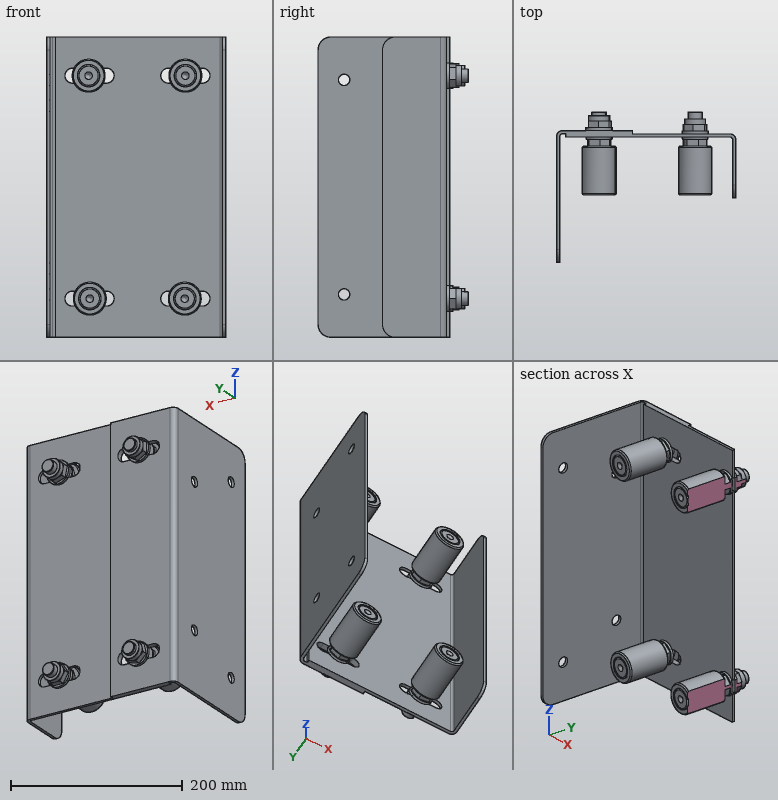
import cadquery as cq
import math

HEIGHT = 350.0
WIDTH = 209.0

SHEET = 4.0
BEND_OUTER = 7.0
BEND_INNER = BEND_OUTER - SHEET
LONG_FLANGE = 153.5
SHORT_FLANGE = 74.5
LONG_BRACKET_WEB = 88.5
SHORT_BRACKET_WEB = WIDTH - 10.5
FLANGE_CORNER = 15.0
OVERLAP_FRONT = -2 * SHEET

FLANGE_HOLE_DIAMETER = 13.0
FLANGE_HOLES = [(30.5, 50.0), (110.5, 80.0)]

SLOT_LENGTH = 57.0
SLOT_WIDTH = 17.0
SLOT_CENTRES_X = (50.0, 161.7)
MOUNT_Z = HEIGHT / 2 - 45.0

ROLLER_DIAMETER = 38.5
ROLLER_REAR = -18.2
ROLLER_LENGTH = 57.0
ROLLER_CHAMFER_LENGTH = 1.8
ROLLER_CHAMFER_DEPTH = 1.5
ROLLER_BORE_DIAMETER = 26.2
CORE_DIAMETER = 26.0
CORE_TIP_DIAMETER = 22.5
CORE_BEVEL_LENGTH = 1.8
CENTRE_DRILL_DIAMETER = 8.8
CENTRE_DRILL_DEPTH = 4.2
STUD_DIAMETER = 16.0
STUD_REAR = 21.7
STUD_CHAMFER = 0.7

HEX_ACROSS_FLATS = 24.0
HEX_ACROSS_CORNERS = HEX_ACROSS_FLATS / math.cos(math.radians(30))
NUT_FLANGE_DIAMETER = 30.0
FRONT_NUT_FLANGE = 2.8
FRONT_NUT_FLANGE_TIP_DIAMETER = 28.7
REAR_NUT_FLANGE = 3.5
REAR_NUT_HEX = 7.5
COLLAR_DIAMETER = 24.0
COLLAR_LENGTH = 6.5
COLLAR_CHAMFER = 0.5

MOUNTS = [
    (49.0, MOUNT_Z, 0, 23, 30),
    (50.5, -MOUNT_Z, 0, 23, 16),
    (161.7, MOUNT_Z, -SHEET, 14, 42),
    (161.0, -MOUNT_Z, -SHEET, 14, 0),
]


def bracket(web, flange):
    """L-shaped bent sheet with its outer corner at the origin, its web along +X and its flange along -Y."""
    sheet = (
        cq.Workplane("XY")
        .moveTo(0, -flange)
        .lineTo(0, -BEND_OUTER)
        .radiusArc((BEND_OUTER, 0), BEND_OUTER)
        .lineTo(web, 0)
        .lineTo(web, -SHEET)
        .lineTo(BEND_OUTER, -SHEET)
        .radiusArc((SHEET, -BEND_OUTER), -BEND_INNER)
        .lineTo(SHEET, -flange)
        .close()
        .extrude(HEIGHT / 2, both=True)
    )
    return sheet.faces("<Y").edges("|X").fillet(FLANGE_CORNER)


def cylinder(diameter, front, length):
    """Cylinder about the Y axis, reaching from y = front towards +Y."""
    return cq.Workplane("XZ", origin=(0, front, 0)).circle(diameter / 2).extrude(-length)


def hexagon(front, length, angle):
    """Hexagonal prism about the Y axis, with a corner at the given angle from +X."""
    prism = cq.Workplane("XZ", origin=(0, front, 0)).polygon(6, HEX_ACROSS_CORNERS).extrude(-length)
    return prism.rotate((0, 0, 0), (0, 1, 0), -angle)


def roller():
    """Roller with bevelled rims and a bevelled core, centre-drilled, in its front end."""
    front = ROLLER_REAR - ROLLER_LENGTH
    radius = ROLLER_DIAMETER / 2
    rim = radius - ROLLER_CHAMFER_DEPTH
    groove_floor = front + CORE_BEVEL_LENGTH
    profile = (
        cq.Workplane("XY")
        .moveTo(0, ROLLER_REAR)
        .lineTo(rim, ROLLER_REAR)
        .lineTo(radius, ROLLER_REAR - ROLLER_CHAMFER_LENGTH)
        .lineTo(radius, front + ROLLER_CHAMFER_LENGTH)
        .lineTo(rim, front)
        .lineTo(ROLLER_BORE_DIAMETER / 2, front)
        .lineTo(ROLLER_BORE_DIAMETER / 2, groove_floor)
        .lineTo(CORE_DIAMETER / 2, groove_floor)
        .lineTo(CORE_TIP_DIAMETER / 2, front)
        .lineTo(CENTRE_DRILL_DIAMETER / 2, front)
        .lineTo(0, front + CENTRE_DRILL_DEPTH)
        .close()
    )
    return profile.revolve(360, (0, 0, 0), (0, 1, 0))


def front_nut(angle):
    """Nut between the roller and the sheet, with a conical flange against the sheet."""
    hex_length = OVERLAP_FRONT - FRONT_NUT_FLANGE - ROLLER_REAR
    flange = (
        cq.Workplane("XZ", origin=(0, OVERLAP_FRONT, 0))
        .circle(NUT_FLANGE_DIAMETER / 2)
        .workplane(offset=FRONT_NUT_FLANGE)
        .circle(FRONT_NUT_FLANGE_TIP_DIAMETER / 2)
        .loft()
    )
    return hexagon(ROLLER_REAR, hex_length, angle).union(flange)


def rear_nut(seat, angle):
    """Flanged lock nut with a round collar, seated on the rear of the sheet."""
    hex_front = seat + REAR_NUT_FLANGE
    collar_front = hex_front + REAR_NUT_HEX
    collar = cylinder(COLLAR_DIAMETER, collar_front, COLLAR_LENGTH).faces(">Y").chamfer(COLLAR_CHAMFER)
    return (
        cylinder(NUT_FLANGE_DIAMETER, seat, REAR_NUT_FLANGE)
        .union(hexagon(hex_front, REAR_NUT_HEX, angle))
        .union(collar)
    )


def roller_mount(seat, front_angle, rear_angle):
    """Roller, stud and both nuts about the Y axis."""
    stud = cylinder(STUD_DIAMETER, ROLLER_REAR, STUD_REAR - ROLLER_REAR).faces(">Y").chamfer(STUD_CHAMFER)
    return roller().union(stud).union(front_nut(front_angle)).union(rear_nut(seat, rear_angle))


long_bracket = bracket(LONG_BRACKET_WEB, LONG_FLANGE)
short_bracket = bracket(SHORT_BRACKET_WEB, SHORT_FLANGE).mirror("YZ").translate((WIDTH, -SHEET, 0))

for edge_distance, end_distance in FLANGE_HOLES:
    hole_y = edge_distance - LONG_FLANGE
    hole_z = HEIGHT / 2 - end_distance
    holes = (
        cq.Workplane("YZ")
        .pushPoints([(hole_y, hole_z), (hole_y, -hole_z)])
        .circle(FLANGE_HOLE_DIAMETER / 2)
        .extrude(SHEET)
    )
    long_bracket = long_bracket.cut(holes)

slots = (
    cq.Workplane("XZ")
    .pushPoints([(x, z) for x in SLOT_CENTRES_X for z in (MOUNT_Z, -MOUNT_Z)])
    .slot2D(SLOT_LENGTH, SLOT_WIDTH)
    .extrude(-OVERLAP_FRONT)
)

result = long_bracket.union(short_bracket).cut(slots)

for mount_x, mount_z, seat_y, front_nut_angle, rear_nut_angle in MOUNTS:
    mount = roller_mount(seat_y, front_nut_angle, rear_nut_angle)
    result = result.union(mount.translate((mount_x, 0, mount_z)))